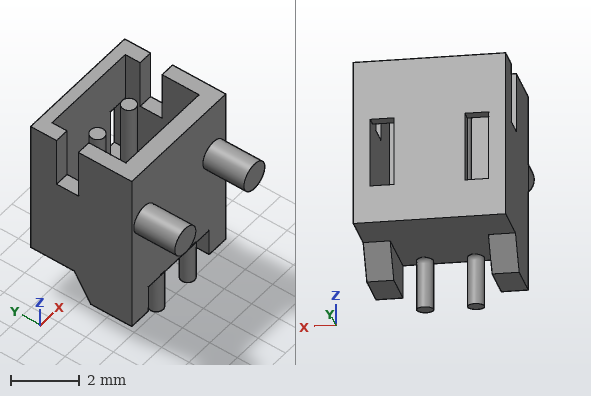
import cadquery as cq
import math

WIDTH = 4.5
DEPTH = 3.7
HEIGHT = 6.0

FOOT_HEIGHT = 1.0
FOOT_WIDTH = 0.8
FOOT_DEPTH = 1.5
FOOT_TOP_DEPTH = 2.1

SIDE_WALL = 0.5
FRONT_WALL = 0.6
BACK_WALL = 0.4
FLOOR_DEPTH = 4.4
SLOPE_FRONT_Y = 1.63
SLOPE_BACK_Y = 1.95

NOTCH_DEPTH = 1.8
NOTCH_WIDTH = 0.8
WINDOW_WIDTH = 0.7

PEG_DIAMETER = 1.0
PEG_LENGTH = 1.5
PEG_SPACING = 3.3
PEG_DEPTH = 2.0

PIN_DIAMETER = 0.5
PIN_SPACING = 1.5
PIN_Y = 2.4
PIN_TIP_DEPTH = 0.7
PIN_TAIL = 0.5
BEND_RADIUS = 0.4
BEND_DROP = 0.15

inner_width = WIDTH - 2 * SIDE_WALL
inner_back_y = DEPTH - BACK_WALL
front_floor_z = HEIGHT - FLOOR_DEPTH
foot_slope = FOOT_HEIGHT / (FOOT_TOP_DEPTH - FOOT_DEPTH)
back_floor_z = front_floor_z + foot_slope * (SLOPE_BACK_Y - SLOPE_FRONT_Y)
notch_z = HEIGHT - NOTCH_DEPTH


def box(width, depth, height, x, y, z):
    """Box centred on x, reaching up and back from y and z."""
    return cq.Workplane("XY").box(width, depth, height, centered=(True, False, False)).translate((x, y, z))


def side_profile(points, width):
    """Extrude a YZ outline symmetrically about X = 0."""
    return cq.Workplane("YZ").polyline(points).close().extrude(width / 2, both=True)


def make_housing():
    body = side_profile([
        (0, 0),
        (FOOT_DEPTH, 0),
        (FOOT_TOP_DEPTH, FOOT_HEIGHT),
        (DEPTH, FOOT_HEIGHT),
        (DEPTH, HEIGHT),
        (0, HEIGHT),
    ], WIDTH)
    cavity = side_profile([
        (FRONT_WALL, front_floor_z),
        (SLOPE_FRONT_Y, front_floor_z),
        (SLOPE_BACK_Y, back_floor_z),
        (inner_back_y, back_floor_z),
        (inner_back_y, HEIGHT),
        (FRONT_WALL, HEIGHT),
    ], inner_width)
    underside = box(WIDTH - 2 * FOOT_WIDTH, DEPTH, FOOT_HEIGHT, 0, 0, 0)
    notches = box(WIDTH, NOTCH_WIDTH, NOTCH_DEPTH, 0, SLOPE_BACK_Y, notch_z)
    body = body.cut(cavity).cut(underside).cut(notches)

    window_x = (inner_width - WINDOW_WIDTH) / 2
    for x in (-window_x, window_x):
        window = box(WINDOW_WIDTH, BACK_WALL, notch_z - back_floor_z, x, inner_back_y, back_floor_z)
        body = body.cut(window)
    return body


def make_peg(x):
    peg_z = HEIGHT - PEG_DEPTH
    peg = cq.Workplane("XZ", origin=(x, 0, peg_z)).circle(PEG_DIAMETER / 2)
    return peg.extrude(PEG_LENGTH)


def make_pin(x):
    """Pin that drops through the floor, runs forward inside it and turns down at the front."""
    tip_z = HEIGHT - PIN_TIP_DEPTH
    tail_y = PIN_DIAMETER / 2
    tail_bend_z = FOOT_HEIGHT - BEND_DROP
    run_z = tail_bend_z + BEND_RADIUS
    mid = BEND_RADIUS * (1 - math.sqrt(0.5))
    path = (
        cq.Workplane("YZ", origin=(x, 0, 0))
        .moveTo(PIN_Y, tip_z)
        .lineTo(PIN_Y, run_z + BEND_RADIUS)
        .threePointArc((PIN_Y - mid, run_z + mid), (PIN_Y - BEND_RADIUS, run_z))
        .lineTo(tail_y + BEND_RADIUS, run_z)
        .threePointArc((tail_y + mid, run_z - mid), (tail_y, tail_bend_z))
        .lineTo(tail_y, -PIN_TAIL)
    )
    return cq.Workplane("XY", origin=(x, PIN_Y, tip_z)).circle(PIN_DIAMETER / 2).sweep(path)


result = make_housing()
for side in (-1, 1):
    result = result.union(make_peg(side * PEG_SPACING / 2))
    result = result.union(make_pin(side * PIN_SPACING / 2))